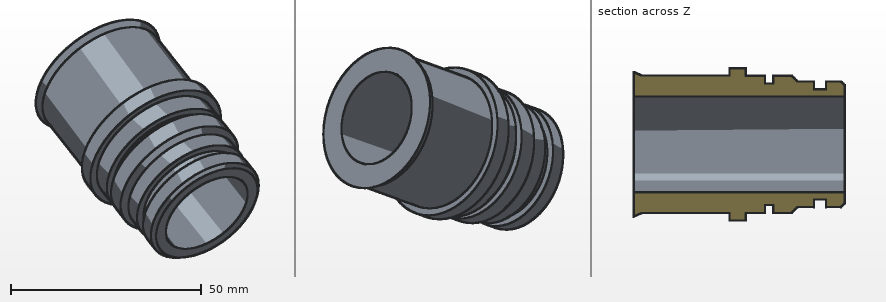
import cadquery as cq

length = 55.3
bore_diameter = 25.0

flare_diameter = 38.0
tube_diameter = 36.2
collar_diameter = 40.0
shoulder_diameter = 36.0
spigot_diameter = 33.0
shoulder_groove_diameter = 32.0
spigot_groove_diameter = 29.0

flare_length = 2.0
collar_start = 25.05
collar_width = 4.3
shoulder_groove_start = 34.45
shoulder_groove_width = 2.1
shoulder_end = 41.4
shoulder_taper_length = (shoulder_diameter - spigot_diameter) / 2
spigot_groove_start = 47.3
spigot_groove_width = 3.05
tip_chamfer = 1.0

collar_end = collar_start + collar_width
spigot_start = shoulder_end + shoulder_taper_length


def cylinder(start, end, diameter):
    """Solid cylinder about the X axis between two axial places."""
    return cq.Workplane("YZ", origin=(start, 0, 0)).circle(diameter / 2).extrude(end - start)


def cone(start, end, start_diameter, end_diameter):
    """Solid truncated cone about the X axis."""
    profile = [
        (start, 0),
        (start, start_diameter / 2),
        (end, end_diameter / 2),
        (end, 0),
    ]
    return cq.Workplane("XY").polyline(profile).close().revolve(360, (0, 0, 0), (1, 0, 0))


def cut_groove(body, start, width, floor_diameter):
    """Cut a square ring groove down to its floor diameter."""
    end = start + width
    ring = cylinder(start, end, collar_diameter).cut(cylinder(start, end, floor_diameter))
    return body.cut(ring)


spigot = cylinder(spigot_start, length, spigot_diameter).faces(">X").chamfer(tip_chamfer)
body = (
    cone(0, flare_length, flare_diameter, tube_diameter)
    .union(cylinder(flare_length, collar_start, tube_diameter))
    .union(cylinder(collar_start, collar_end, collar_diameter))
    .union(cylinder(collar_end, shoulder_end, shoulder_diameter))
    .union(cone(shoulder_end, spigot_start, shoulder_diameter, spigot_diameter))
    .union(spigot)
)

body = cut_groove(body, shoulder_groove_start, shoulder_groove_width, shoulder_groove_diameter)
body = cut_groove(body, spigot_groove_start, spigot_groove_width, spigot_groove_diameter)

result = body.cut(cylinder(0, length, bore_diameter))